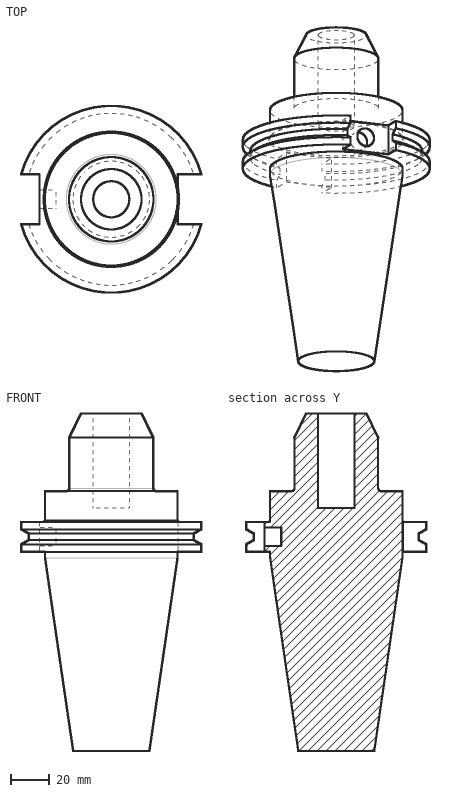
import cadquery as cq
import math

total_height = 177.8

gauge_diameter = 69.9
taper_length = 101.7
taper_ratio = 7 / 24
taper_end_diameter = gauge_diameter - taper_length * taper_ratio
band_height = 3.2

flange_diameter = 98.5
flange_height = 15.8
groove_floor_diameter = 90.7
groove_floor_width = 3.4
groove_flank_angle = 30.0

collar_diameter = 69.9
collar_height = 16.2
collar_fillet = 0.7
nose_diameter = 44.5
nose_tip_diameter = 31.8
nose_cone_height = 12.8
nose_fillet = 1.5
bore_diameter = 19.0
bore_depth = 49.8

slot_width = 26.1
left_floor_distance = 37.9
right_floor_distance = 35.0
slot_hole_diameter = 9.6
slot_hole_depth = 8.9

flange_bottom = taper_length + band_height
flange_top = flange_bottom + flange_height
flange_middle = flange_bottom + flange_height / 2
collar_top = flange_top + collar_height


def make_shank():
    taper_end_radius = taper_end_diameter / 2
    gauge_radius = gauge_diameter / 2
    profile = [
        (0, 0),
        (taper_end_radius, 0),
        (gauge_radius, taper_length),
        (gauge_radius, flange_bottom),
        (0, flange_bottom),
    ]
    return cq.Workplane("XZ").polyline(profile).close().revolve(360, (0, 0), (0, 1))


def make_flange():
    rim_radius = flange_diameter / 2
    floor_radius = groove_floor_diameter / 2
    half_floor = groove_floor_width / 2
    flank_rise = (rim_radius - floor_radius) * math.tan(math.radians(groove_flank_angle))
    half_mouth = half_floor + flank_rise
    profile = [
        (0, flange_bottom),
        (rim_radius, flange_bottom),
        (rim_radius, flange_middle - half_mouth),
        (floor_radius, flange_middle - half_floor),
        (floor_radius, flange_middle + half_floor),
        (rim_radius, flange_middle + half_mouth),
        (rim_radius, flange_top),
        (0, flange_top),
    ]
    return cq.Workplane("XZ").polyline(profile).close().revolve(360, (0, 0), (0, 1))


def make_stepped_top():
    """Collar and cone-tipped nose, with a concave fillet at the foot of each."""
    collar_radius = collar_diameter / 2
    nose_radius = nose_diameter / 2
    outline = (
        cq.Workplane("XZ")
        .moveTo(0, flange_top)
        .lineTo(collar_radius + collar_fillet, flange_top)
        .radiusArc((collar_radius, flange_top + collar_fillet), collar_fillet)
        .lineTo(collar_radius, collar_top)
        .lineTo(nose_radius + nose_fillet, collar_top)
        .radiusArc((nose_radius, collar_top + nose_fillet), nose_fillet)
        .lineTo(nose_radius, total_height - nose_cone_height)
        .lineTo(nose_tip_diameter / 2, total_height)
        .lineTo(0, total_height)
        .close()
    )
    return outline.revolve(360, (0, 0), (0, 1))


def make_drive_slot(side, floor_distance):
    """Cutter for one drive slot; side is -1 for the -X side and +1 for the +X side."""
    length = flange_diameter / 2
    center_x = side * (floor_distance + length / 2)
    return cq.Workplane("XY").box(length, slot_width, flange_height).translate((center_x, 0, flange_middle))


def make_slot_hole():
    """Blind radial hole in the floor of the -X drive slot."""
    floor_plane = cq.Workplane("YZ", origin=(-left_floor_distance, 0, flange_middle))
    return floor_plane.circle(slot_hole_diameter / 2).extrude(slot_hole_depth)


def make_bore():
    bore_bottom = total_height - bore_depth
    return cq.Workplane("XY").workplane(offset=bore_bottom).circle(bore_diameter / 2).extrude(bore_depth)


body = make_shank().union(make_flange()).union(make_stepped_top())
body = body.cut(make_drive_slot(-1, left_floor_distance))
body = body.cut(make_drive_slot(1, right_floor_distance))
body = body.cut(make_slot_hole())
result = body.cut(make_bore())